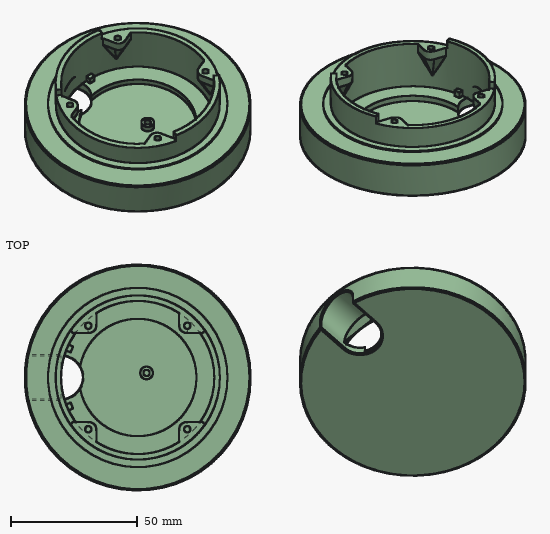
import cadquery as cq
import math

base_diameter = 89.4
base_height = 15.0
edge_chamfer = 0.5

step_diameter = 71.0
step_height = 0.5

ring_diameter = 65.0
cavity_diameter = 60.6
total_height = 27.5
rim_notch_depth = 3.2
raised_rim_half_angle = 34.6

floor_height = 4.6
recess_diameter = 46.5
recess_floor_height = 2.1

boss_center = (3.5, 1.8)
boss_diameter = 5.0
screw_hole_diameter = 2.5

lug_inner_x = 16.4
lug_inner_y = 17.6
lug_corner_radius = 3.0
lug_thickness = 3.75
lug_taper_height = 10.4
lug_hole_x = 19.6
lug_hole_y = 20.5

tunnel_radius = 8.6
tunnel_axis_height = 4.4

block_angle = 23.0
block_length = 2.0
block_width = 2.5
block_height = 2.5

base_radius = base_diameter / 2
ring_radius = ring_diameter / 2
cavity_radius = cavity_diameter / 2
wall_thickness = ring_radius - cavity_radius
wall_middle_radius = cavity_radius + wall_thickness / 2
rim_height = total_height - rim_notch_depth
lug_bottom = rim_height - lug_thickness


def disk(diameter, bottom, top, center=(0, 0)):
    """Upright cylinder between two heights."""
    return cq.Workplane("XY", origin=(*center, bottom)).circle(diameter / 2).extrude(top - bottom)


def make_tunnel():
    """Arched cable passage from the -X side, with a round end cut through the cavity floor."""
    passage = (
        cq.Workplane("YZ", origin=(-base_radius, 0, 0))
        .moveTo(-tunnel_radius, 0)
        .lineTo(-tunnel_radius, tunnel_axis_height)
        .threePointArc((0, tunnel_axis_height + tunnel_radius), (tunnel_radius, tunnel_axis_height))
        .lineTo(tunnel_radius, 0)
        .close()
        .extrude(base_radius - cavity_radius)
    )
    rounded_end = disk(2 * tunnel_radius, 0, floor_height, (-cavity_radius, 0))
    return passage.union(rounded_end)


def make_base():
    """Base disk with the tunnel; its top, bottom and tunnel mouth edges are chamfered."""
    base = disk(base_diameter, 0, base_height).cut(make_tunnel())
    mouth_depth = 1.5 * (base_radius - math.sqrt(base_radius**2 - tunnel_radius**2))
    mouth_zone = cq.selectors.BoxSelector(
        (-base_radius, -base_radius, 0),
        (-base_radius + mouth_depth, base_radius, base_height),
    )
    return base.faces("<Z or >Z").edges().add(base.edges(mouth_zone)).chamfer(edge_chamfer)


def make_body():
    """Base with a low step and a ring wall on top, bored out to a recessed floor."""
    step = disk(step_diameter, base_height, base_height + step_height)
    ring = disk(ring_diameter, base_height, total_height)
    cavity = disk(cavity_diameter, floor_height, total_height)
    recess = disk(recess_diameter, recess_floor_height, floor_height)
    return make_base().union(step).union(ring).cut(cavity).cut(recess)


def make_rim_notch(side):
    """Wedge that lowers the rim on the +Y (side = 1) or -Y (side = -1) side."""
    reach = side * base_radius
    half_width = base_radius / math.tan(math.radians(raised_rim_half_angle))
    plane = cq.Workplane("XY", origin=(0, 0, rim_height))
    outline = plane.polyline([(0, 0), (half_width, reach), (-half_width, reach)]).close()
    return outline.extrude(rim_notch_depth)


def lug_outline():
    """Lug plan in the +X +Y quadrant: two straight sides, a round corner, the rest inside the wall."""
    wall_x = math.sqrt(wall_middle_radius**2 - lug_inner_y**2)
    wall_y = math.sqrt(wall_middle_radius**2 - lug_inner_x**2)
    arc_inset = lug_corner_radius * (1 - math.sqrt(0.5))
    return (
        cq.Workplane("XY", origin=(0, 0, lug_bottom))
        .moveTo(wall_x, lug_inner_y)
        .lineTo(lug_inner_x + lug_corner_radius, lug_inner_y)
        .threePointArc(
            (lug_inner_x + arc_inset, lug_inner_y + arc_inset),
            (lug_inner_x, lug_inner_y + lug_corner_radius),
        )
        .lineTo(lug_inner_x, wall_y)
        .close()
    )


def make_lug():
    """Screw lug whose underside tapers to a point on the cavity wall."""
    plate = lug_outline().extrude(lug_thickness)
    hole_direction = math.atan2(lug_hole_y, lug_hole_x)
    tip = cq.Vertex.makeVertex(
        cavity_radius * math.cos(hole_direction),
        cavity_radius * math.sin(hole_direction),
        lug_bottom - lug_taper_height,
    )
    taper = cq.occ_impl.shapes.loft(lug_outline().val(), tip, cap=True, ruled=True)
    hole = disk(screw_hole_diameter, lug_bottom, rim_height, (lug_hole_x, lug_hole_y))
    return plate.union(cq.Workplane(taper)).cut(hole)


def make_block(angle):
    """Small block on the cavity floor, reaching radially inward from the wall."""
    return (
        cq.Workplane("XY", origin=(cavity_radius - block_length, 0, floor_height))
        .box(block_length + wall_thickness, block_width, block_height, centered=(False, True, False))
        .rotate((0, 0, 0), (0, 0, 1), angle)
    )


result = make_body()

for side in (1, -1):
    result = result.cut(make_rim_notch(side))
    result = result.union(make_block(180 + side * block_angle))

lug = make_lug()
opposite_lug = lug.mirror("YZ")
for corner_lug in (lug, opposite_lug, lug.mirror("XZ"), opposite_lug.mirror("XZ")):
    result = result.union(corner_lug)

boss = disk(boss_diameter, recess_floor_height, floor_height, boss_center)
boss_hole = disk(screw_hole_diameter, recess_floor_height, floor_height, boss_center)
result = result.union(boss).cut(boss_hole)